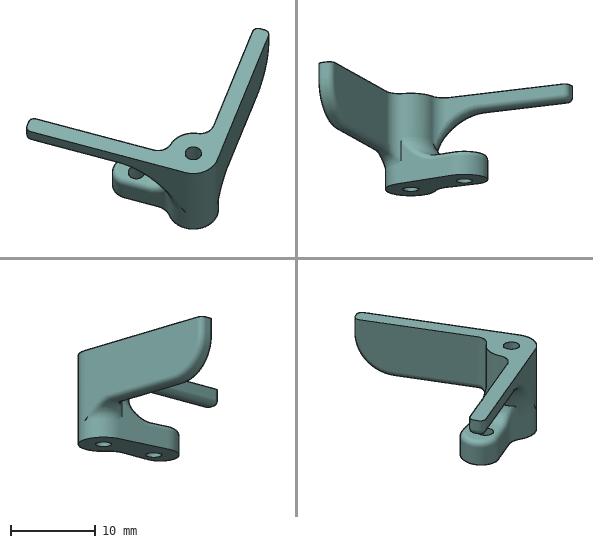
import cadquery as cq
import math

height = 11.0
boss_radius = 3.0
hole_diameter = 1.9
edge_radius = 0.7

arm_reach = 20.0
arm_thickness = 2.0
arm_inner = boss_radius - arm_thickness
arm_middle_y = -(arm_inner + boss_radius) / 2
arm_corner_radius = 1.67
x_arm_underside = 9.0
x_arm_blend_radius = 5.85
y_arm_underside = 4.0
y_arm_blend_radius = 1.65
y_arm_tip_radius = 5.0

lug_center = (-7.4, 0.875)
lug_radius = boss_radius
lug_thickness = 3.0
lug_side_y = -arm_inner
lug_corner_radius = 2.12
lug_neck_radius = 2.2
lug_blend_radius = 2.6

side_clearance = 30.0
end_clearance = 1.0

boss_center = (0, 0)
diagonal = math.sqrt(0.5)


def toward(start, end, distance):
    """Point at a distance from start, in the direction of end."""
    span = math.dist(start, end)
    return (
        start[0] + (end[0] - start[0]) * distance / span,
        start[1] + (end[1] - start[1]) * distance / span,
    )


def arc_middle(center, start, end, radius):
    """Middle of the shorter arc from start to end."""
    chord_middle = ((start[0] + end[0]) / 2, (start[1] + end[1]) / 2)
    return toward(center, chord_middle, radius)


def arm_prism(bottom):
    """X arm outline, from the boss axis to the arm's end, raised from a given height to the top."""
    corner_y = arm_corner_radius - arm_inner
    corner_x = -math.sqrt((boss_radius + arm_corner_radius) ** 2 - corner_y**2)
    corner_center = (corner_x, corner_y)
    boss_touch = toward(boss_center, corner_center, boss_radius)
    arm_touch = (corner_x, -arm_inner)
    return (
        cq.Workplane("XY", origin=(0, 0, bottom))
        .moveTo(*boss_center)
        .lineTo(0, -boss_radius)
        .lineTo(-arm_reach, -boss_radius)
        .lineTo(-arm_reach, -arm_inner)
        .lineTo(*arm_touch)
        .threePointArc(arc_middle(corner_center, arm_touch, boss_touch, arm_corner_radius), boss_touch)
        .close()
        .extrude(height - bottom)
    )


def space_below_arm(underside, blend_radius):
    """Ring-shaped cutter that leaves a round blend between an arm's underside and the boss."""
    blend_start = underside - blend_radius
    blend_axis = boss_radius + blend_radius
    blend_middle = (blend_axis - blend_radius * diagonal, blend_start + blend_radius * diagonal)
    return (
        cq.Workplane("XZ")
        .moveTo(boss_radius, blend_start)
        .threePointArc(blend_middle, (blend_axis, underside))
        .lineTo(side_clearance, underside)
        .lineTo(side_clearance, blend_start - end_clearance)
        .lineTo(boss_radius, blend_start - end_clearance)
        .close()
        .revolve(360, (0, 0, 0), (0, 1, 0))
    )


def point_edges(body, *points):
    """Edges of a body whose centres are nearest to the given points."""
    edges = [body.edges(cq.selectors.NearestToPointSelector(point)).val() for point in points]
    return body.newObject(edges)


def plain_arm(underside, blend_radius):
    """Arm along -X with its underside blended into the boss."""
    return arm_prism(underside - blend_radius).cut(space_below_arm(underside, blend_radius))


def x_arm():
    """Shallow arm along -X: the end corners are rounded, then the whole lower rim."""
    body = plain_arm(x_arm_underside, x_arm_blend_radius)
    end_z = (x_arm_underside + height) / 2
    body = point_edges(
        body,
        (-arm_reach, -arm_inner, end_z),
        (-arm_reach, -boss_radius, end_z),
    ).fillet(edge_radius)
    return point_edges(body, (-arm_reach, arm_middle_y, x_arm_underside)).fillet(edge_radius)


def y_arm():
    """Deep arm with a rounded tip and rims, built along -X and mirrored onto +Y."""
    body = plain_arm(y_arm_underside, y_arm_blend_radius)
    body = point_edges(body, (-arm_reach, arm_middle_y, y_arm_underside)).fillet(y_arm_tip_radius)
    rim_x = -arm_reach / 2
    body = point_edges(
        body,
        (rim_x, -arm_inner, y_arm_underside),
        (rim_x, -boss_radius, y_arm_underside),
    ).fillet(edge_radius)
    return body.mirror((1, 1, 0))


def lug_prism(top):
    """Lug outline, from the lug's round end to the boss, raised to a given height."""
    span = math.dist(lug_center, boss_center)
    normal = (lug_center[1] / span, -lug_center[0] / span)
    lug_tangent = (lug_center[0] + lug_radius * normal[0], lug_center[1] + lug_radius * normal[1])
    boss_tangent = (boss_radius * normal[0], boss_radius * normal[1])

    corner_y = lug_side_y + lug_corner_radius
    corner_offset = math.sqrt((lug_radius - lug_corner_radius) ** 2 - (corner_y - lug_center[1]) ** 2)
    corner_center = (lug_center[0] - corner_offset, corner_y)
    corner_touch = toward(lug_center, corner_center, lug_radius)
    side_start = (corner_center[0], lug_side_y)
    corner_middle = arc_middle(corner_center, corner_touch, side_start, lug_corner_radius)

    neck_y = lug_side_y - lug_neck_radius
    neck_x = -math.sqrt((boss_radius + lug_neck_radius) ** 2 - neck_y**2)
    neck_center = (neck_x, neck_y)
    neck_touch = toward(boss_center, neck_center, boss_radius)
    side_end = (neck_x, lug_side_y)
    return (
        cq.Workplane("XY")
        .moveTo(*boss_tangent)
        .lineTo(*lug_tangent)
        .threePointArc(arc_middle(lug_center, lug_tangent, corner_touch, lug_radius), corner_touch)
        .threePointArc(corner_middle, side_start)
        .lineTo(*side_end)
        .threePointArc(arc_middle(neck_center, side_end, neck_touch, lug_neck_radius), neck_touch)
        .lineTo(*boss_center)
        .close()
        .extrude(top)
    )


def lug():
    """Lug whose top sweeps up to the boss, with its upper edge rounded."""
    blend_top = lug_thickness + lug_blend_radius
    blend_axis = boss_radius + lug_blend_radius
    blend_middle = (blend_axis - lug_blend_radius * diagonal, blend_top - lug_blend_radius * diagonal)
    space_above = (
        cq.Workplane("XZ")
        .moveTo(boss_radius, blend_top)
        .threePointArc(blend_middle, (blend_axis, lug_thickness))
        .lineTo(side_clearance, lug_thickness)
        .lineTo(side_clearance, blend_top + end_clearance)
        .lineTo(boss_radius, blend_top + end_clearance)
        .close()
        .revolve(360, (0, 0, 0), (0, 1, 0))
    )
    body = lug_prism(blend_top).cut(space_above)
    far_edge = (lug_center[0] - lug_radius, lug_center[1], lug_thickness)
    return point_edges(body, far_edge).fillet(edge_radius)


def through_hole(center):
    return cq.Workplane("XY").center(*center).circle(hole_diameter / 2).extrude(height)


boss = cq.Workplane("XY").circle(boss_radius).extrude(height)
result = boss.union(x_arm()).union(y_arm()).union(lug())
result = result.cut(through_hole(boss_center)).cut(through_hole(lug_center))